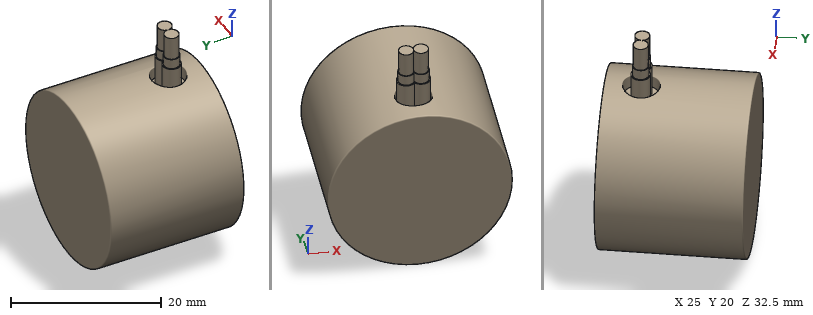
import cadquery as cq

body_diameter = 25.0
body_length = 20.0
edge_fillet = 0.2
body_radius = body_diameter / 2
front_y = -body_length / 2

pocket_diameter = 5.0
pocket_depth = 2.0
pocket_rim_fillet = 0.1
pocket_from_front = 5.0
pocket_y = front_y + pocket_from_front
pocket_floor_z = body_radius - pocket_depth

overall_height = 32.5
tip_diameter = 2.0
tip_overlap = 0.015
lead_spacing = tip_diameter - tip_overlap
tip_length = 3.5
collar_diameter = 2.25
collar_length = 1.5
sleeve_diameter = 2.6
lead_top_z = overall_height - body_radius
collar_top_z = lead_top_z - tip_length
sleeve_top_z = collar_top_z - collar_length


def upright_cylinder(x, diameter, bottom_z, top_z):
    """Vertical cylinder on the centre plane of the cable exit."""
    return (
        cq.Workplane("XY", origin=(x, pocket_y, bottom_z))
        .circle(diameter / 2)
        .extrude(top_z - bottom_z)
    )


def make_body():
    can = cq.Workplane("XZ", origin=(0, front_y, 0)).circle(body_radius).extrude(-body_length)
    can = can.faces("<Y or >Y").edges().fillet(edge_fillet)
    can = can.cut(upright_cylinder(0, pocket_diameter, pocket_floor_z, body_radius))
    pocket_rim = cq.NearestToPointSelector((0, pocket_y, body_radius))
    return can.edges(pocket_rim).fillet(pocket_rim_fillet)


def make_lead(x):
    sleeve = upright_cylinder(x, sleeve_diameter, pocket_floor_z, sleeve_top_z)
    collar = upright_cylinder(x, collar_diameter, sleeve_top_z, collar_top_z)
    tip = upright_cylinder(x, tip_diameter, collar_top_z, lead_top_z)
    return sleeve.union(collar).union(tip)


result = make_body()
for side in (-1, 1):
    result = result.union(make_lead(side * lead_spacing / 2))